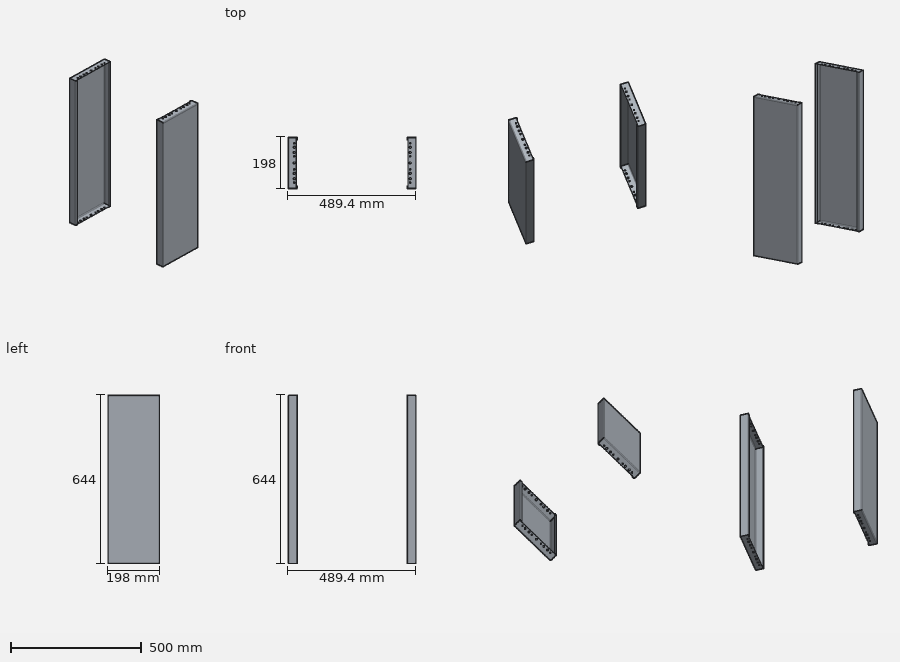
import cadquery as cq

overall_width = 489.41
tray_breadth = 198.0
tray_height = 644.0

sheet = 1.0
inner_bend = 2.0
outer_bend = inner_bend + sheet
tray_depth = 34.7
end_flange_depth = 31.7
lip_breadth = 10.8

flange_gap = 1.0
flange_bevel = 2.0
corner_relief = 2.0
flange_breadth = tray_breadth - 2 * (sheet + flange_gap)

hole_setback = 22.9
small_hole = 4.65
large_hole = 7.0
small_hole_offsets = (25.0, 75.0)
large_hole_offsets = (40.0, 60.0)


def block_from_panel(depth, breadth, height):
    """Block with its back at X = 0, centred in Y and Z."""
    return cq.Workplane("XY").box(depth, breadth, height, centered=(False, True, True))


def rounded_block(inset, bend):
    """Tray envelope shrunk by an inset, its panel and lip folds rounded and mitred at the corners."""
    block = block_from_panel(
        tray_depth - 2 * inset, tray_breadth - 2 * inset, tray_height - 2 * inset
    )
    side_folds = block.edges("|Z").fillet(bend)
    end_folds = block.edges("|Y and <X").fillet(bend)
    return side_folds.intersect(end_folds).translate((inset, 0, 0))


def mouth():
    """Opening between the two lips, over the full height."""
    opening = block_from_panel(tray_depth, tray_breadth - 2 * lip_breadth, tray_height)
    return opening.translate((end_flange_depth, 0, 0))


def flange_surround():
    """Space around the edges of both end flanges, one sheet thick at each end."""
    inside_walls = block_from_panel(tray_depth - sheet, tray_breadth - 2 * sheet, tray_height)
    flange = block_from_panel(end_flange_depth, flange_breadth, tray_height)
    flange = flange.edges("|Z and >X").chamfer(flange_bevel)
    between_ends = block_from_panel(tray_depth, tray_breadth, tray_height - 2 * sheet)
    return inside_walls.cut(flange).cut(between_ends)


def corner_reliefs():
    """Square notches where the end folds and the side folds of the panel meet."""
    corners = cq.Workplane("YZ").rect(
        tray_breadth - corner_relief, tray_height - corner_relief, forConstruction=True
    )
    return corners.vertices().rect(corner_relief, corner_relief).extrude(corner_relief)


def drill_row(diameter, places):
    """Drills along Z through both end flanges."""
    row = cq.Workplane("XY", origin=(hole_setback, 0, -tray_height / 2))
    return row.pushPoints([(0, y) for y in places]).circle(diameter / 2).extrude(tray_height)


def both_sides(offsets):
    """Offsets on both sides of the middle."""
    return [side * offset for offset in offsets for side in (-1, 1)]


def folded_tray():
    """Panel at X = 0 with side walls, return lips and drilled end flanges, open towards +X."""
    tray = rounded_block(0, outer_bend).cut(rounded_block(sheet, inner_bend))
    tray = tray.cut(mouth())
    tray = tray.cut(flange_surround())
    tray = tray.cut(corner_reliefs())
    tray = tray.cut(drill_row(small_hole, both_sides(small_hole_offsets)))
    return tray.cut(drill_row(large_hole, [0] + both_sides(large_hole_offsets)))


left_tray = folded_tray().translate((-overall_width / 2, 0, 0))
right_tray = left_tray.mirror("YZ")

result = cq.Compound.makeCompound([*left_tray.solids().vals(), *right_tray.solids().vals()])